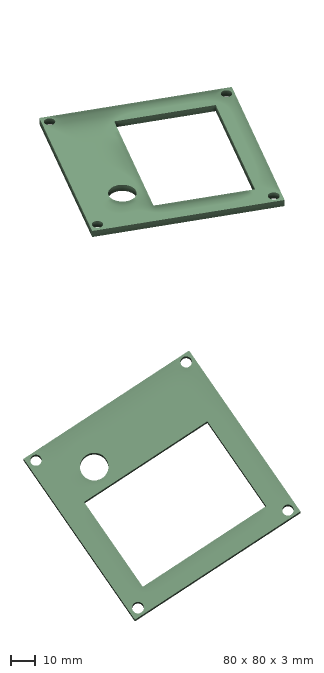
import cadquery as cq

PLATE_WIDTH = 80.01
PLATE_DEPTH = 80.0
PLATE_THICKNESS = 3.0

WINDOW_WIDTH = 59.6
WINDOW_DEPTH = 42.2
WINDOW_CENTER = (0.0, 9.4)

KNOB_HOLE_DIAMETER = 11.43
KNOB_HOLE_CENTER = (18.3, -21.5)

SCREW_HOLE_DIAMETER = 4.57
LARGE_SCREW_HOLE_DIAMETER = 4.78
SCREW_HOLE_CENTERS = [(-36.15, 36.75), (-36.4, -36.75), (36.2, -36.75)]
LARGE_SCREW_HOLE_CENTER = (36.2, 36.55)


def make_plate():
    """Plain rectangular plate standing on Z = 0."""
    return cq.Workplane("XY").box(
        PLATE_WIDTH, PLATE_DEPTH, PLATE_THICKNESS, centered=(True, True, False)
    )


def window_cutter():
    """Block that cuts the display window through the plate."""
    return (
        cq.Workplane("XY")
        .center(*WINDOW_CENTER)
        .rect(WINDOW_WIDTH, WINDOW_DEPTH)
        .extrude(PLATE_THICKNESS)
    )


def hole_cutter(centers, diameter):
    """Cylinders that cut equal round holes through the plate."""
    return (
        cq.Workplane("XY")
        .pushPoints(centers)
        .circle(diameter / 2)
        .extrude(PLATE_THICKNESS)
    )


result = (
    make_plate()
    .cut(window_cutter())
    .cut(hole_cutter([KNOB_HOLE_CENTER], KNOB_HOLE_DIAMETER))
    .cut(hole_cutter(SCREW_HOLE_CENTERS, SCREW_HOLE_DIAMETER))
    .cut(hole_cutter([LARGE_SCREW_HOLE_CENTER], LARGE_SCREW_HOLE_DIAMETER))
)